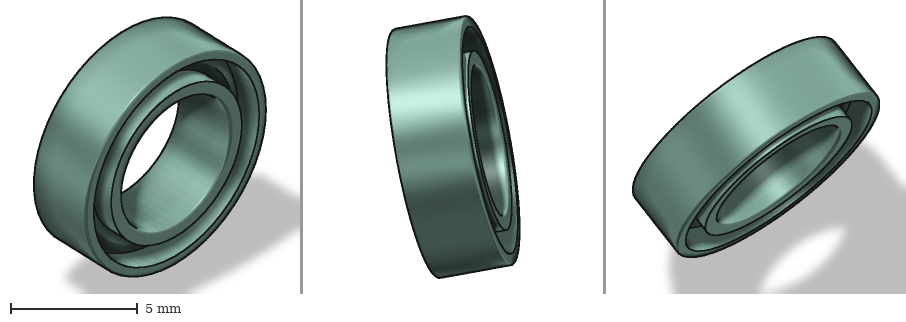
import cadquery as cq

width = 3.0
outer_radius = 5.0
bore_radius = 3.0
edge_round = 0.1

inner_race_radius = 3.6
outer_race_radius = 4.56

ball_radius = 0.6
ball_circle_radius = (bore_radius + outer_radius) / 2


def tube(outer, inner):
    """Tube of full width centred on the origin, with its axis along X."""
    return cq.Workplane("YZ", origin=(-width / 2, 0, 0)).circle(outer).circle(inner).extrude(width)


def ball_ring():
    """Torus around the X axis, midway across the width."""
    section = cq.Workplane("XZ").center(0, ball_circle_radius).circle(ball_radius)
    return section.revolve(360, (0, -ball_circle_radius), (1, -ball_circle_radius))


races = tube(outer_radius, bore_radius).edges().fillet(edge_round)
gap = tube(outer_race_radius, inner_race_radius)
result = races.cut(gap).union(ball_ring())